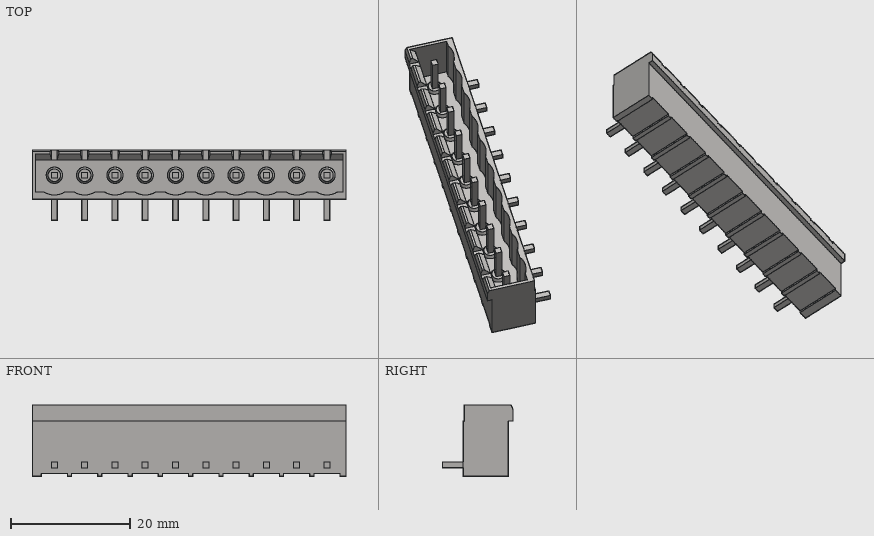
import cadquery as cq


length = 52.6
depth = 7.6
height = 12.0
step_height = 9.25
front_step = 0.15
lip_overhang = 0.8
lip_bevel_depth = 0.3
lip_bevel_height = 0.75
lip_back = depth + lip_overhang

pole_count = 10
first_pole = 3.7
pole_span = 45.75
pitch = pole_span / (pole_count - 1)
pole_xs = [first_pole + pitch * i for i in range(pole_count)]

end_wall = 0.5
cavity_front = 1.25
cavity_back = 6.7
cavity_floor = 3.4
ramp_depth = 1.0
ramp_height = ramp_depth
ramp_foot = height - ramp_height
scallop_radius = 3.3

notch_floor_width = 0.95
notch_top_width = 1.45

pin_width = 1.0
pin_y = 4.1
pin_top = 10.6
lead_z = 1.95
lead_reach = 3.45

collar_base_radius = 1.35
collar_top_radius = 1.05
collar_height = 0.5

rib_width = 0.75
slot_width = pitch - rib_width
slot_height = 0.45


def box(x_min, x_max, y_min, y_max, z_min, z_max):
    """Axis-aligned block between the given limits."""
    size = (x_max - x_min, y_max - y_min, z_max - z_min)
    return cq.Workplane("XY").box(*size, centered=False).translate((x_min, y_min, z_min))


def make_housing():
    """Solid housing with the front step and the bevelled back lip."""
    profile = [
        (0, 0),
        (depth, 0),
        (depth, step_height),
        (lip_back, step_height),
        (lip_back, height - lip_bevel_height),
        (lip_back - lip_bevel_depth, height),
        (front_step, height),
        (front_step, step_height),
        (0, step_height),
    ]
    return cq.Workplane("YZ").polyline(profile).close().extrude(length)


def make_cavity():
    """Space inside the shroud, with the back slope and the front scallops."""
    profile = [
        (cavity_front, cavity_floor),
        (cavity_back, cavity_floor),
        (cavity_back, ramp_foot),
        (cavity_back + ramp_depth, height),
        (cavity_front, height),
    ]
    inner_length = length - 2 * end_wall
    cavity = cq.Workplane("YZ", origin=(end_wall, 0, 0)).polyline(profile).close().extrude(inner_length)
    front_zone = box(end_wall, length - end_wall, 0, pin_y, cavity_floor, height)
    for x in pole_xs:
        scallop = cq.Workplane("XY", origin=(x, pin_y, cavity_floor)).circle(scallop_radius)
        scallop = scallop.extrude(height - cavity_floor)
        cavity = cavity.union(scallop.intersect(front_zone))
    return cavity


def make_notch(x):
    """Flared notch from the cavity out through the back lip."""
    profile = [
        (x - notch_floor_width / 2, ramp_foot),
        (x + notch_floor_width / 2, ramp_foot),
        (x + notch_top_width / 2, height),
        (x - notch_top_width / 2, height),
    ]
    notch = cq.Workplane("XZ", origin=(0, lip_back, 0)).polyline(profile).close()
    return notch.extrude(lip_back - cavity_back)


def make_slot(x):
    """Relief slot under one pole, running from front to back."""
    return box(x - slot_width / 2, x + slot_width / 2, 0, depth, 0, slot_height)


def make_collar(x):
    """Tapered collar on the cavity floor."""
    return (
        cq.Workplane("XY", origin=(x, pin_y, cavity_floor))
        .circle(collar_base_radius)
        .workplane(offset=collar_height)
        .circle(collar_top_radius)
        .loft()
    )


def make_pin(x):
    """Square pin bent from the upright contact to the front lead."""
    half = pin_width / 2
    contact = box(x - half, x + half, pin_y - half, pin_y + half, lead_z - half, pin_top)
    lead = box(x - half, x + half, -lead_reach, pin_y + half, lead_z - half, lead_z + half)
    return contact.union(lead)


result = make_housing().cut(make_cavity())
for pole_x in pole_xs:
    result = result.cut(make_notch(pole_x)).cut(make_slot(pole_x))
    result = result.union(make_collar(pole_x)).union(make_pin(pole_x))